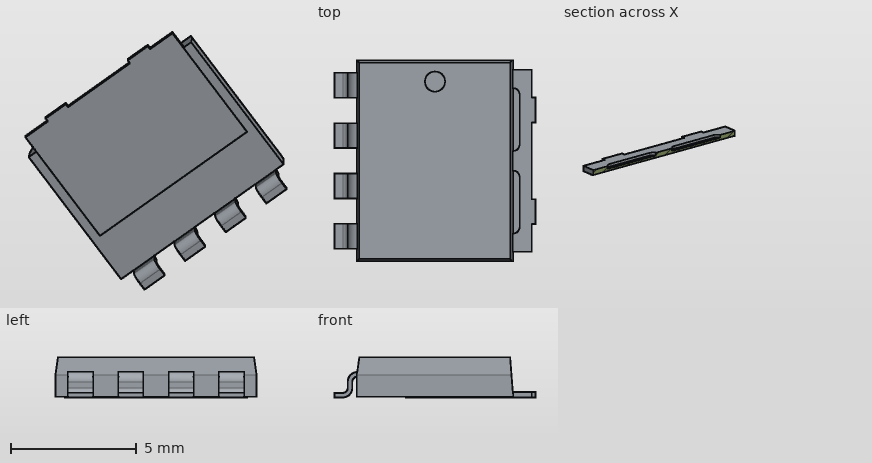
import cadquery as cq

overall_length = 8.0
overall_height = 1.61
x_end = overall_length / 2

body_length = 6.22
body_width = 8.0
standoff = 0.03
parting_height = 0.91
top_inset = 0.1
leaning_wall_inset = 0.12
body_left = -body_length / 2
body_right = body_length / 2

mark_diameter = 0.8
mark_depth = 0.06
mark_y = 3.15

lead_count = 4
lead_pitch = 2.0
lead_width = 1.0
lead_thickness = 0.19
foot_length = 0.33
inner_bend = 0.2
outer_bend = inner_bend + lead_thickness
lead_top = 1.02
lead_embed = 0.3

pad_left = -1.17
pad_right = 3.85
pad_width = 7.24
pad_thickness = 0.23
tab_width = 1.0
tab_y = 2.02

recess_length = 2.5
recess_end = 3.36
recess_radius = 0.25
recess_depth = pad_thickness / 2
recess_y = 1.64


def box(x_min, x_max, y_center, width, z_min, z_max):
    """Block given by its X and Z limits and its centre and width along Y."""
    return (
        cq.Workplane("XY")
        .box(x_max - x_min, width, z_max - z_min, centered=(False, True, False))
        .translate((x_min, y_center, z_min))
    )


def make_body():
    """Intersect the X-Z and Y-Z outlines so that every wall keeps its own slope."""
    side_outline = (
        cq.Workplane("XZ")
        .moveTo(body_left, standoff)
        .lineTo(body_right, standoff)
        .lineTo(body_right - leaning_wall_inset, overall_height)
        .lineTo(body_left + top_inset, overall_height)
        .lineTo(body_left, parting_height)
        .close()
        .extrude(body_width / 2, both=True)
    )
    half_width = body_width / 2
    end_outline = (
        cq.Workplane("YZ")
        .moveTo(-half_width, standoff)
        .lineTo(half_width, standoff)
        .lineTo(half_width, parting_height)
        .lineTo(half_width - top_inset, overall_height)
        .lineTo(-half_width + top_inset, overall_height)
        .lineTo(-half_width, parting_height)
        .close()
        .extrude(body_length, both=True)
    )
    return side_outline.intersect(end_outline)


def make_pin_mark():
    return (
        cq.Workplane("XY", origin=(0, mark_y, overall_height - mark_depth))
        .circle(mark_diameter / 2)
        .extrude(mark_depth)
    )


def make_lead(y_center):
    """S-shaped strip: flat foot, two quarter bends and a tail inside the body."""
    foot_end = -x_end + foot_length
    riser_outside = foot_end + inner_bend
    riser_inside = riser_outside + lead_thickness
    tail_start = riser_outside + outer_bend
    tail_end = body_left + lead_embed
    riser_bottom = outer_bend
    riser_top = lead_top - outer_bend
    return (
        cq.Workplane("XZ")
        .moveTo(-x_end, 0)
        .lineTo(foot_end, 0)
        .radiusArc((riser_inside, riser_bottom), -outer_bend)
        .lineTo(riser_inside, riser_top)
        .radiusArc((tail_start, lead_top - lead_thickness), inner_bend)
        .lineTo(tail_end, lead_top - lead_thickness)
        .lineTo(tail_end, lead_top)
        .lineTo(tail_start, lead_top)
        .radiusArc((riser_outside, riser_top), -outer_bend)
        .lineTo(riser_outside, riser_bottom)
        .radiusArc((foot_end, lead_thickness), inner_bend)
        .lineTo(-x_end, lead_thickness)
        .close()
        .extrude(lead_width / 2, both=True)
        .translate((0, y_center, 0))
    )


def make_pad():
    pad = box(pad_left, pad_right, 0, pad_width, 0, pad_thickness)
    for side in (-1, 1):
        tab = box(body_right, x_end, side * tab_y, tab_width, 0, pad_thickness)
        pad = pad.union(tab)
    for side in (-1, 1):
        floor = pad_thickness - recess_depth
        recess = box(body_left, recess_end, side * recess_y, recess_length, floor, pad_thickness)
        pad = pad.cut(recess.edges("|Z and >X").fillet(recess_radius))
    return pad


package = make_pad().union(make_body()).cut(make_pin_mark())
for index in range(lead_count):
    lead_y = (index - (lead_count - 1) / 2) * lead_pitch
    package = package.union(make_lead(lead_y))

result = package